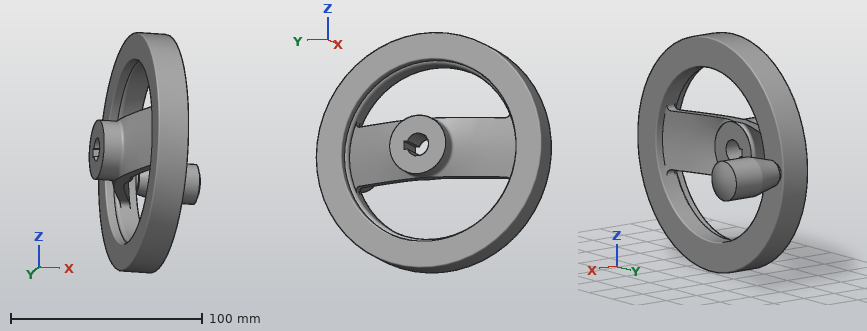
import cadquery as cq


rim_diameter = 125.0
rim_width = 16.3
rim_edge_radius = 0.8
front_bore_diameter = 96.4
inner_diameter = 92.5
front_bore_depth = 4.5
step_radius = (front_bore_diameter - inner_diameter) / 2

hub_diameter = 31.0
hub_front = -17.2
hub_back = 1.3
hub_fillet = 1.5
bore_diameter = 11.9
keyway_width = 4.4
keyway_reach = 7.7

spoke_width = 31.5
web_front_at_hub = -6.7
web_front_at_rim = 6.9
web_thickness_at_hub = 5.5
web_thickness_at_rim = 5.1
window_corner_radius = 2.2

handle_offset = 55.3
stem_diameter = 10.1
stem_length = 2.3
grip_start_diameter = 13.9
grip_diameter = 21.0
taper_length = 14.0
grip_length = 17.5
dome_height = 2.5

overlap = 0.6
clearance = 1.3


def revolve_about_x(profile):
    """Revolve a closed profile, drawn as (X, radius), about the X axis."""
    return profile.close().revolve(360, (0, 0, 0), (1, 0, 0))


def cylinder_along_x(diameter, start, end):
    return cq.Workplane("YZ", origin=(start, 0, 0)).circle(diameter / 2).extrude(end - start)


def make_rim():
    outer = rim_diameter / 2
    bore = front_bore_diameter / 2
    inner = inner_diameter / 2
    profile = (
        cq.Workplane("XY")
        .moveTo(0, bore)
        .lineTo(0, outer)
        .lineTo(rim_width, outer)
        .lineTo(rim_width, inner)
        .lineTo(front_bore_depth + step_radius, inner)
        .radiusArc((front_bore_depth, bore), step_radius)
    )
    rim = revolve_about_x(profile)
    return rim.faces("<X or >X").edges().fillet(rim_edge_radius)


def make_spokes_and_hub():
    inner = inner_diameter / 2
    hub_radius = hub_diameter / 2
    web_radius = inner + overlap
    slope = (web_front_at_rim - web_front_at_hub) / (inner - hub_radius)
    web_front_end = web_front_at_hub + slope * (web_radius - hub_radius)
    profile = (
        cq.Workplane("XY")
        .moveTo(hub_front, 0)
        .lineTo(hub_front, hub_radius)
        .lineTo(web_front_at_hub, hub_radius)
        .lineTo(web_front_end, web_radius)
        .lineTo(web_front_end + web_thickness_at_rim, web_radius)
        .lineTo(web_front_at_hub + web_thickness_at_hub, hub_radius)
        .lineTo(hub_back, hub_radius)
        .lineTo(hub_back, 0)
    )
    web = revolve_about_x(profile)
    web_back_at_hub = web_front_at_hub + web_thickness_at_hub
    reach = hub_radius + overlap
    at_hub = cq.selectors.BoxSelector(
        (web_front_at_hub - overlap, -reach, -reach),
        (web_back_at_hub + overlap, reach, reach),
    )
    web = web.edges("%CIRCLE").edges(at_hub).fillet(hub_fillet)
    return web.cut(make_windows())


def make_windows():
    """Both openings: the inner circle of the rim less the bar of the spokes."""
    start = hub_front - clearance
    end = rim_width + clearance
    bar_depth = 2 * max(-start, end)
    bar = cq.Workplane("XY").box(bar_depth, rim_diameter, spoke_width)
    windows = cylinder_along_x(inner_diameter, start, end).cut(bar)
    return windows.edges("|X").fillet(window_corner_radius)


def make_handle():
    stem_end = rim_width + stem_length
    taper_end = stem_end + taper_length
    grip_end = taper_end + grip_length
    grip_radius = grip_diameter / 2
    dome_radius = (grip_radius**2 + dome_height**2) / (2 * dome_height)
    profile = (
        cq.Workplane("XY")
        .moveTo(rim_width / 2, 0)
        .lineTo(rim_width / 2, stem_diameter / 2)
        .lineTo(stem_end, stem_diameter / 2)
        .lineTo(stem_end, grip_start_diameter / 2)
        .lineTo(taper_end, grip_radius)
        .lineTo(grip_end, grip_radius)
        .radiusArc((grip_end + dome_height, 0), dome_radius)
    )
    return revolve_about_x(profile).translate((0, handle_offset, 0))


def make_keyed_bore():
    start = hub_front - clearance
    length = hub_back + clearance - start
    bore = cylinder_along_x(bore_diameter, start, start + length)
    keyway = cq.Workplane("XY").box(length, keyway_reach, keyway_width, centered=(False, False, True))
    return bore.union(keyway.translate((start, 0, 0)))


wheel = make_rim().union(make_spokes_and_hub())
result = wheel.union(make_handle()).cut(make_keyed_bore())